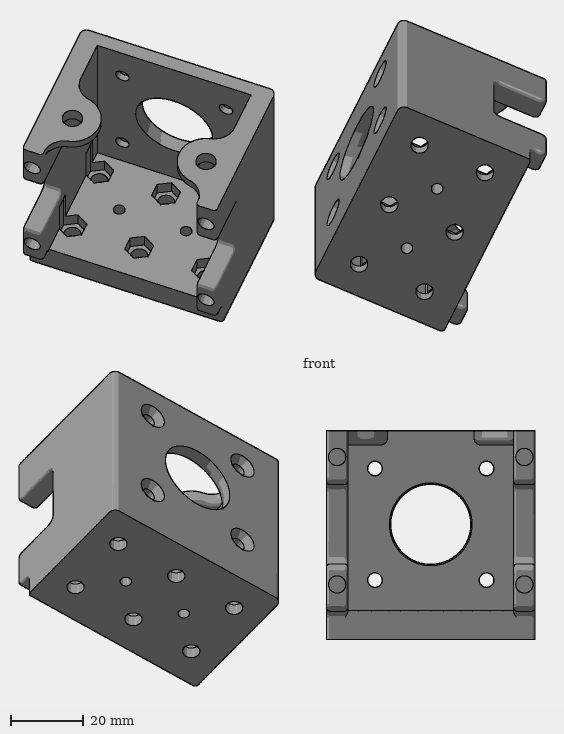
import cadquery as cq
import math

width = 58.0
height = 58.0
back_y = 20.0
arm_front_y = -25.0
base_front_y = -20.0

side_wall = 6.0
back_wall = 4.0
base_thickness = 8.0
inner_x = width / 2 - side_wall

arm_bottom = 7.85
window_bottom = 21.0
window_height = 22.0
window_depth = 16.0
profile_radius = 2.0
edge_radius = 1.0
back_corner_radius = 2.0

motor_z = 32.0
motor_bolt_pitch = 31.0
motor_bolt_diameter = 4.0
countersink_diameter = 8.0
countersink_depth = 2.0
motor_bore_diameter = 22.2
motor_bore_inner_diameter = 23.0
motor_bore_taper_depth = 1.5

base_pitch_x = 20.0
base_pitch_y = 20.0
base_hole_diameter = 4.8
small_hole_diameter = 3.2
small_hole_x = base_pitch_x / 2
nut_flats = 7.0
nut_depth = 4.0
nut_slot_height = 10.0
hexagon_sides = 6

lug_x = base_pitch_x
lug_y = -base_pitch_y / 2
lug_thickness = 4.0
lug_radius = 8.0
lug_blend_radius = 6.0
lug_bottom_fillet = 2.0
lug_hole_diameter = 5.6

arm_hole_diameter = 4.8
arm_hole_depth = 10.0
arm_hole_x = width / 2 - side_wall / 2
arm_hole_heights = (15.3, 50.7)


def side_plate():
    """The +X side wall: stepped and windowed at the front, with all front edges rounded."""
    window_back_y = arm_front_y + window_depth
    window_top = window_bottom + window_height
    outline = [
        (back_y, 0),
        (base_front_y, 0),
        (base_front_y, arm_bottom),
        (arm_front_y, arm_bottom),
        (arm_front_y, window_bottom),
        (window_back_y, window_bottom),
        (window_back_y, window_top),
        (arm_front_y, window_top),
        (arm_front_y, height),
        (back_y, height),
    ]
    plate = cq.Workplane("YZ", origin=(inner_x, 0, 0)).polyline(outline).close().extrude(side_wall)
    front_region = cq.selectors.BoxSelector(
        (-width, arm_front_y - edge_radius, edge_radius),
        (width, window_back_y + edge_radius, height - edge_radius),
    )
    plate = plate.edges("|X").edges(front_region).fillet(profile_radius)
    return plate.edges("not |X").edges(front_region).fillet(edge_radius)


def lug():
    """Lug on the +X wall: a round ear blended into the wall by two arcs."""
    blend_x = inner_x - lug_blend_radius
    centre_distance = lug_radius + lug_blend_radius
    blend_dx = lug_x - blend_x
    blend_dy = math.sqrt(centre_distance**2 - blend_dx**2)
    ear_share = lug_radius / centre_distance
    join_x = lug_x - blend_dx * ear_share
    join_dy = blend_dy * ear_share
    half_angle = math.atan2(blend_dy, blend_dx) / 2
    mid_x = blend_x + lug_blend_radius * math.cos(half_angle)
    mid_dy = blend_dy - lug_blend_radius * math.sin(half_angle)
    root_x = inner_x + side_wall / 2
    bottom_z = height - lug_thickness
    ear = (
        cq.Workplane("XY", origin=(0, 0, bottom_z))
        .moveTo(root_x, lug_y + blend_dy)
        .lineTo(inner_x, lug_y + blend_dy)
        .threePointArc((mid_x, lug_y + mid_dy), (join_x, lug_y + join_dy))
        .threePointArc((lug_x - lug_radius, lug_y), (join_x, lug_y - join_dy))
        .threePointArc((mid_x, lug_y - mid_dy), (inner_x, lug_y - blend_dy))
        .lineTo(root_x, lug_y - blend_dy)
        .close()
        .extrude(lug_thickness)
    )
    return ear.faces("<Z").edges("%CIRCLE").fillet(lug_bottom_fillet)


def body():
    """Base and back plates joined to two mirrored side walls with their lugs."""
    plate = side_plate()
    ear = lug()
    plate_width = width - side_wall
    bottom_centred = (True, False, False)
    base = cq.Workplane("XY", origin=(0, base_front_y, 0)).box(
        plate_width, back_y - base_front_y, base_thickness, centered=bottom_centred
    )
    back = cq.Workplane("XY", origin=(0, back_y - back_wall, 0)).box(
        plate_width, back_wall, height, centered=bottom_centred
    )
    shell = base.union(back).union(plate).union(plate.mirror("YZ"))
    shell = shell.edges("|Z and >Y").fillet(back_corner_radius)
    return shell.union(ear).union(ear.mirror("YZ"))


def cone_along_y(start, start_diameter, end_diameter, length):
    """Cone that runs in the +Y direction from the given start point."""
    return cq.Workplane(
        cq.Solid.makeCone(
            start_diameter / 2, end_diameter / 2, length, cq.Vector(*start), cq.Vector(0, 1, 0)
        )
    )


def motor_mount_cut():
    """Motor bore tapered on the inside and four bolt holes countersunk from the back."""
    back_face = cq.Workplane("XZ", origin=(0, back_y, motor_z))
    bore = back_face.circle(motor_bore_diameter / 2).extrude(back_wall)
    taper = cone_along_y(
        (0, back_y - back_wall, motor_z),
        motor_bore_inner_diameter,
        motor_bore_diameter,
        motor_bore_taper_depth,
    )
    cutter = bore.union(taper)
    bolt_offset = motor_bolt_pitch / 2
    for x in (-bolt_offset, bolt_offset):
        for dz in (-bolt_offset, bolt_offset):
            hole = back_face.center(x, dz).circle(motor_bolt_diameter / 2).extrude(back_wall)
            countersink = cone_along_y(
                (x, back_y - countersink_depth, motor_z + dz),
                motor_bolt_diameter,
                countersink_diameter,
                countersink_depth,
            )
            cutter = cutter.union(hole).union(countersink)
    return cutter


def base_cut():
    """Base bolt holes with hexagonal nut pockets, whose corners also notch the side walls."""
    underside = cq.Workplane("XY")
    small_points = [(-small_hole_x, 0), (small_hole_x, 0)]
    cutter = underside.pushPoints(small_points).circle(small_hole_diameter / 2).extrude(base_thickness)
    nut_corners = nut_flats / math.cos(math.pi / hexagon_sides)
    pocket_floor = cq.Workplane(
        cq.Plane(origin=(0, 0, base_thickness - nut_depth), xDir=(0, 1, 0), normal=(0, 0, 1))
    )
    for x in (-base_pitch_x, 0, base_pitch_x):
        for y in (-base_pitch_y / 2, base_pitch_y / 2):
            hole = underside.center(x, y).circle(base_hole_diameter / 2).extrude(base_thickness)
            pocket = (
                pocket_floor.center(y, -x)
                .polygon(hexagon_sides, nut_corners)
                .extrude(nut_depth + nut_slot_height)
            )
            cutter = cutter.union(hole).union(pocket)
    return cutter


def lug_hole_cut():
    """Vertical through hole in each lug."""
    return (
        cq.Workplane("XY", origin=(0, 0, height - lug_thickness))
        .pushPoints([(-lug_x, lug_y), (lug_x, lug_y)])
        .circle(lug_hole_diameter / 2)
        .extrude(lug_thickness)
    )


def arm_hole_cut():
    """Blind hole in the front face of each of the four arms."""
    points = [(x, z) for x in (-arm_hole_x, arm_hole_x) for z in arm_hole_heights]
    return (
        cq.Workplane("XZ", origin=(0, arm_front_y, 0))
        .pushPoints(points)
        .circle(arm_hole_diameter / 2)
        .extrude(-arm_hole_depth)
    )


result = body()
for cutter in (motor_mount_cut(), base_cut(), lug_hole_cut(), arm_hole_cut()):
    result = result.cut(cutter)